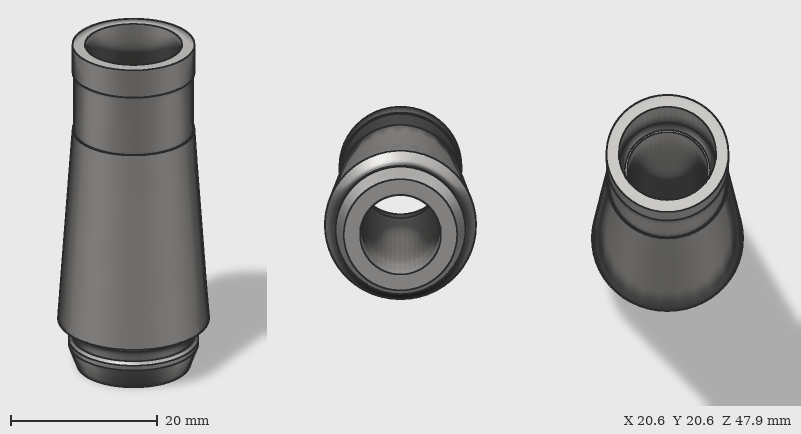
import cadquery as cq

total_height = 47.9
collar_bottom = 43.8
body_top = 35.1
body_bottom = 6.85
groove_top = 5.65
groove_bottom = 4.2
lip_top = 3.8
lip_bottom = 3.05

body_bottom_radius = 20.6 / 2
collar_radius = 16.6 / 2
neck_radius = 16.25 / 2
body_top_radius = collar_radius
groove_radius = 16.65 / 2
lip_radius = 17.68 / 2
nose_radius = 15.4 / 2

socket_radius = 6.6
socket_depth = 7.6
seat_radius = 5.8
bore_radius = 5.5
socket_floor = total_height - socket_depth
seat_height = socket_floor - (socket_radius - seat_radius)


def make_outer_body():
    """Solid of revolution: collar, neck, tapered body, groove, lip and nose."""
    profile = (
        cq.Workplane("XZ")
        .moveTo(0, 0)
        .lineTo(nose_radius, 0)
        .lineTo(lip_radius, lip_bottom)
        .lineTo(lip_radius, lip_top)
        .lineTo(groove_radius, groove_bottom)
        .lineTo(groove_radius, groove_top)
        .lineTo(body_bottom_radius, body_bottom)
        .lineTo(body_top_radius, body_top)
        .lineTo(neck_radius, body_top)
        .lineTo(neck_radius, collar_bottom)
        .lineTo(collar_radius, collar_bottom)
        .lineTo(collar_radius, total_height)
        .lineTo(0, total_height)
        .close()
    )
    return profile.revolve(360, (0, 0, 0), (0, 1, 0))


def make_bore():
    """Through bore with a wide socket at the top that cones down to a flat seat."""
    profile = (
        cq.Workplane("XZ")
        .moveTo(0, 0)
        .lineTo(bore_radius, 0)
        .lineTo(bore_radius, seat_height)
        .lineTo(seat_radius, seat_height)
        .lineTo(socket_radius, socket_floor)
        .lineTo(socket_radius, total_height)
        .lineTo(0, total_height)
        .close()
    )
    return profile.revolve(360, (0, 0, 0), (0, 1, 0))


result = make_outer_body().cut(make_bore())